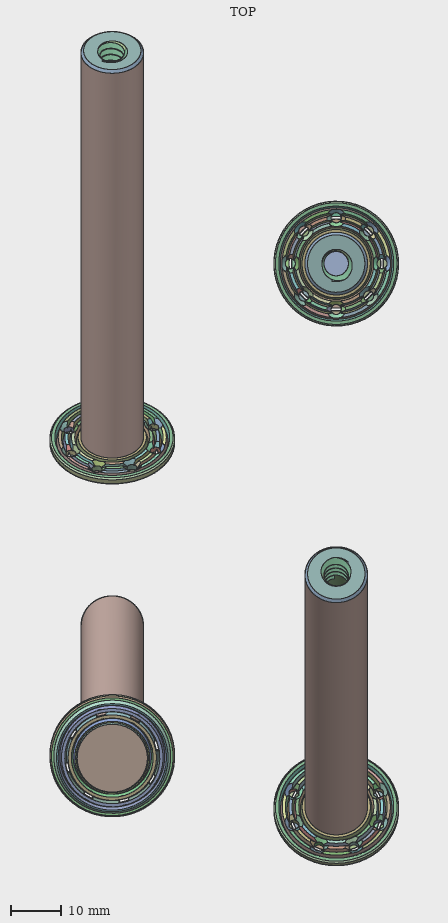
import cadquery as cq
total_height = 106.2
tube_radius = 12.5 / 2
tube_chamfer = 0.5

disc_radius = 25.0 / 2
disc_top = 2.9
rim_bottom = 1.2
rim_chamfer = 0.3
plate_bottom = 0.4
plate_top_radius = 11.7
plate_bottom_radius = 11.2
boss_bottom_radius = 7.0
boss_top_radius = 7.2

first_groove_radius = 7.17
groove_pitch = 1.33
top_groove_count = 4
groove_half_width = 0.34
groove_depth = 1.1
top_groove_radii = [first_groove_radius + i * groove_pitch for i in range(top_groove_count)]
bottom_groove_radii = [radius + groove_pitch / 2 for radius in top_groove_radii[:-1]]

hole_count = 8
hole_circle_radius = bottom_groove_radii[1]
hole_radius = 2.0 / 2
sink_radius = 3.7 / 2
hole_floor_thickness = 0.3

bore_radius = 2.4
bore_depth = 10.6
mouth_chamfer = 0.4
thread_pitch = 1.6
thread_length = 6.4
thread_root_radius = 3.6
thread_half_width = 0.79
thread_overlap = 0.1
thread_start_angle = -60


def revolve_profile(points):
    """Revolve (radius, height) points about the Z axis."""
    return cq.Workplane("XZ").polyline(points).close().revolve(360, (0, 0), (0, 1))


def make_body():
    return revolve_profile([
        (0, 0),
        (boss_bottom_radius, 0),
        (boss_top_radius, plate_bottom),
        (plate_bottom_radius, plate_bottom),
        (plate_top_radius, rim_bottom),
        (disc_radius - rim_chamfer, rim_bottom),
        (disc_radius, rim_bottom + rim_chamfer),
        (disc_radius, disc_top - rim_chamfer),
        (disc_radius - rim_chamfer, disc_top),
        (tube_radius, disc_top),
        (tube_radius, total_height - tube_chamfer),
        (tube_radius - tube_chamfer, total_height),
        (0, total_height),
    ])


def make_groove(radius, face_height, tip_height):
    """Ring with a V section, open at face_height and pointed at tip_height."""
    return revolve_profile([
        (radius - groove_half_width, face_height),
        (radius, tip_height),
        (radius + groove_half_width, face_height),
    ])


def make_countersunk_hole():
    floor = plate_bottom + hole_floor_thickness
    sink_depth = sink_radius - hole_radius
    return revolve_profile([
        (0, floor),
        (hole_radius, floor),
        (hole_radius, disc_top - sink_depth),
        (sink_radius, disc_top),
        (0, disc_top),
    ])


def make_bore():
    """Plain bore with a 45 degree chamfer at its mouth."""
    return revolve_profile([
        (0, total_height - bore_depth),
        (bore_radius, total_height - bore_depth),
        (bore_radius, total_height - mouth_chamfer),
        (bore_radius + mouth_chamfer, total_height),
        (0, total_height),
    ])


def make_thread():
    """Triangle climbing the bore wall: its corners trace three helices, joined by ruled faces."""
    inner_radius = bore_radius - thread_overlap
    corners = [
        (inner_radius, -thread_half_width),
        (thread_root_radius, 0),
        (inner_radius, thread_half_width),
    ]
    climb = thread_length + thread_pitch
    helices = [
        cq.Wire.makeHelix(thread_pitch, climb, radius).translate(cq.Vector(0, 0, height))
        for radius, height in corners
    ]
    flanks = [cq.Face.makeRuledSurface(helices[i - 1], helices[i]) for i in range(len(helices))]
    end_corners = [
        [helix.startPoint() for helix in helices],
        [helix.endPoint() for helix in helices],
    ]
    ends = [cq.Face.makeFromWires(cq.Wire.makePolygon(points, close=True)) for points in end_corners]
    thread = cq.Workplane(cq.Solid.makeSolid(cq.Shell.makeShell(flanks + ends)))
    thread = thread.rotate((0, 0, 0), (0, 0, 1), thread_start_angle)
    return thread.translate((0, 0, total_height - thread_length))


result = make_body()

for groove_radius in top_groove_radii:
    result = result.cut(make_groove(groove_radius, disc_top, disc_top - groove_depth))
for groove_radius in bottom_groove_radii:
    result = result.cut(make_groove(groove_radius, plate_bottom, plate_bottom + groove_depth))

countersunk_hole = make_countersunk_hole().translate((hole_circle_radius, 0, 0))
for i in range(hole_count):
    result = result.cut(countersunk_hole.rotate((0, 0, 0), (0, 0, 1), i * 360 / hole_count))

result = result.cut(make_bore()).cut(make_thread())